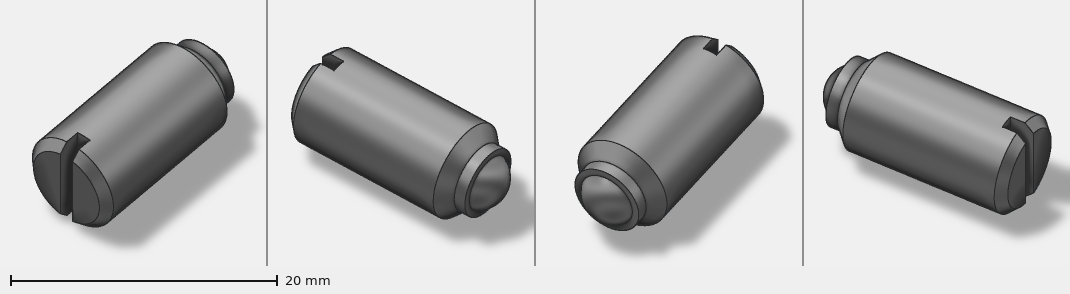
import cadquery as cq
import math

body_radius = 4.0
rear_chamfer = 0.75
collar_radius = 2.875
collar_start = 15.0
collar_end = 16.0
ball_radius = 2.5
tip_height = 1.5
slot_width = 1.2
slot_depth = 2.0

shoulder_start = collar_start - (body_radius - collar_radius)

tip_end = collar_end + tip_height
ball_center = tip_end - ball_radius
cap_radius = math.sqrt(ball_radius**2 - (collar_end - ball_center) ** 2)
arc_middle_angle = (math.pi / 2 + math.asin((collar_end - ball_center) / ball_radius)) / 2
arc_middle = (
    ball_radius * math.cos(arc_middle_angle),
    ball_center + ball_radius * math.sin(arc_middle_angle),
)


def make_screw():
    """Revolve the half profile of body, collar and ball about the Y axis."""
    profile = (
        cq.Workplane("XY")
        .moveTo(0, 0)
        .lineTo(body_radius - rear_chamfer, 0)
        .lineTo(body_radius, rear_chamfer)
        .lineTo(body_radius, shoulder_start)
        .lineTo(collar_radius, collar_start)
        .lineTo(collar_radius, collar_end)
        .lineTo(cap_radius, collar_end)
        .threePointArc(arc_middle, (0, tip_end))
        .close()
    )
    return profile.revolve(360, (0, 0, 0), (0, 1, 0))


def make_slot():
    """Screwdriver slot crossing the rear face along Z."""
    return cq.Workplane("XY").box(
        slot_width, slot_depth, 2 * body_radius, centered=(True, False, True)
    )


result = make_screw().cut(make_slot())